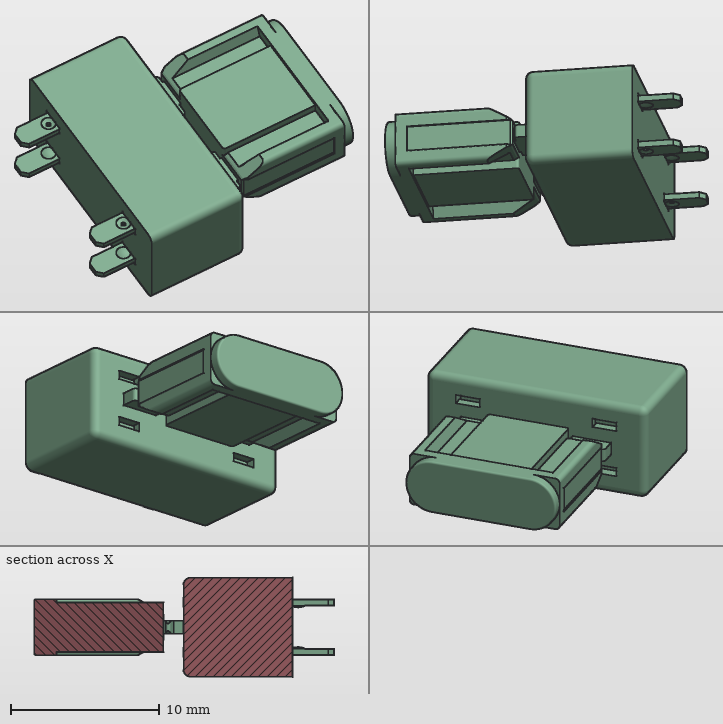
import cadquery as cq
import math

SIDES = (-1, 1)

HOUSING_WIDTH = 16.0
HOUSING_DEPTH = 7.38
HOUSING_HEIGHT = 6.73
HOUSING_ROUND = 0.53

PIN_INNER_X = 4.1
PIN_WIDTH = 1.6
PIN_INNER_Z = 1.46
PIN_OUTER_Z = 1.88
PIN_LENGTH = 2.79
PIN_TIP_CHAMFER = 0.4
ARM_END_Y = HOUSING_DEPTH - HOUSING_ROUND
SLOT_WIDTH = 1.73
SLOT_INNER_Z = 1.38
SLOT_OUTER_Z = 2.0
WEB_START_Y = 0.5
WEB_END_Y = 1.2

DIMPLE_X = PIN_INNER_X + PIN_WIDTH / 2
DIMPLE_Y = -0.37
DIMPLE_RADIUS = 0.49
DIMPLE_HEIGHT = 0.13
DIMPLE_HOLE_RADIUS = 0.15
DIMPLE_HOLE_DEPTH = 0.35

FUSE_WIDTH = 10.9
FUSE_THICKNESS = 3.8
FUSE_BOTTOM_Y = 8.7
FUSE_TOP_Y = 17.45
FUSE_EDGE_ROUND = 0.33
HEAD_DEPTH = 0.74
HEAD_ROUND = 0.14
TAPER_START_Y = 10.45
TAPER_ANGLE = 30
LIP_DEPTH = 0.13
LIP_DROP = 0.12
SHOULDER_WIDTH = 0.2
SHOULDER_LENGTH = 0.39

POCKET_TOP_Y = 15.92
POCKET_HALF_WIDTH = 4.65
POCKET_FLOOR_HALF_WIDTH = 4.35
POCKET_FLOOR_Z = 1.09
CORE_HALF_WIDTH = 2.93
CORE_THICKNESS = 3.36
CORE_CORNER = 0.19

SIDE_RECESS_DEPTH = 0.12
SIDE_RECESS_HEIGHT = 1.76

BLADE_INNER_X = 2.66
BLADE_OUTER_X = FUSE_WIDTH / 2
BLADE_THICKNESS = 0.88
BLADE_TOP_Y = 8.57
BLADE_CORNER = 0.24
NECK_OUTER_X = 4.85
BARB_TIP_X = 1.84
BARB_UPPER_X = 1.93
BARB_ROUND_X = 2.12
BARB_LOWER_X = 2.0
BARB_TIP_Y = 8.41
BARB_LOWER_Y = 8.23
BARB_ROOT_Y = 8.02
BARB_EDGE_ROUND = 0.3


def block(x_range, y_range, z_range):
    """Box between two limits on each axis."""
    size = [high - low for low, high in (x_range, y_range, z_range)]
    corner = cq.Vector(x_range[0], y_range[0], z_range[0])
    return cq.Workplane(cq.Solid.makeBox(*size, corner))


def symmetric(size):
    """Limits of a span centred on zero."""
    return (-size / 2, size / 2)


def mirrored_x(shape, side):
    """Shape made on the +X side, or its mirror image on the -X side."""
    return shape if side > 0 else shape.mirror("YZ")


def mirrored_z(shape, face):
    """Shape made on the +Z side, or its mirror image on the -Z side."""
    return shape if face > 0 else shape.mirror("XY")


def terminal_web():
    return block(
        (PIN_INNER_X, PIN_INNER_X + SLOT_WIDTH),
        (WEB_START_Y, WEB_END_Y),
        symmetric(2 * PIN_OUTER_Z),
    )


def dimple_cap(base_z):
    """Shallow spherical cap hanging from the given height on the upper pin."""
    sphere_radius = (DIMPLE_RADIUS**2 + DIMPLE_HEIGHT**2) / (2 * DIMPLE_HEIGHT)
    sphere_z = base_z - DIMPLE_HEIGHT + sphere_radius
    sphere = cq.Workplane().sphere(sphere_radius).translate((DIMPLE_X, DIMPLE_Y, sphere_z))
    limits = block(
        (DIMPLE_X - DIMPLE_RADIUS, DIMPLE_X + DIMPLE_RADIUS),
        (DIMPLE_Y - DIMPLE_RADIUS, DIMPLE_Y + DIMPLE_RADIUS),
        (base_z - DIMPLE_HEIGHT, base_z),
    )
    return sphere.intersect(limits)


def dimple_hole():
    """Small blind hole at the middle of the dimple."""
    return (
        cq.Workplane("XY", origin=(DIMPLE_X, DIMPLE_Y, PIN_OUTER_Z))
        .circle(DIMPLE_HOLE_RADIUS)
        .extrude(-DIMPLE_HOLE_DEPTH)
    )


def pin_arm():
    arm = block(
        (PIN_INNER_X, PIN_INNER_X + PIN_WIDTH),
        (-PIN_LENGTH, ARM_END_Y),
        (PIN_INNER_Z, PIN_OUTER_Z),
    )
    arm = arm.faces("<Y").edges("|Z").chamfer(PIN_TIP_CHAMFER)
    arm = arm.union(dimple_cap(PIN_INNER_Z))
    return arm.cut(dimple_cap(PIN_OUTER_Z)).cut(dimple_hole())


def make_terminal(side):
    terminal = terminal_web()
    for face in SIDES:
        terminal = terminal.union(mirrored_z(pin_arm(), face))
    return mirrored_x(terminal, side)


def fuse_blade():
    """Blade from the terminal web to the fuse body, with a barb on its inner edge."""
    outline = (
        cq.Workplane("XY")
        .workplane(offset=-BLADE_THICKNESS / 2)
        .moveTo(BLADE_INNER_X, WEB_END_Y)
        .lineTo(BLADE_OUTER_X, WEB_END_Y)
        .lineTo(BLADE_OUTER_X, BLADE_TOP_Y - BLADE_CORNER)
        .radiusArc((BLADE_OUTER_X - BLADE_CORNER, BLADE_TOP_Y), -BLADE_CORNER)
        .lineTo(NECK_OUTER_X, BLADE_TOP_Y)
        .lineTo(NECK_OUTER_X, FUSE_BOTTOM_Y)
        .lineTo(BLADE_INNER_X, FUSE_BOTTOM_Y)
        .lineTo(BLADE_INNER_X, BLADE_TOP_Y)
        .lineTo(BARB_UPPER_X, BLADE_TOP_Y)
        .threePointArc((BARB_TIP_X, BARB_TIP_Y), (BARB_LOWER_X, BARB_LOWER_Y))
        .lineTo(BLADE_INNER_X, BARB_ROOT_Y)
        .close()
    )
    blade = outline.extrude(BLADE_THICKNESS)
    for face in SIDES:
        blade = blade.cut(mirrored_z(barb_edge_cut(), face))
    return blade


def barb_edge_cut():
    """Waste above the rounded upper edge of the barb tip."""
    half_thickness = BLADE_THICKNESS / 2
    round_end_x = BARB_ROUND_X - BARB_EDGE_ROUND
    round_end_z = half_thickness - BARB_EDGE_ROUND
    return (
        cq.Workplane("XZ", origin=(0, FUSE_BOTTOM_Y, 0))
        .moveTo(BARB_ROUND_X, half_thickness)
        .radiusArc((round_end_x, round_end_z), -BARB_EDGE_ROUND)
        .lineTo(round_end_x, half_thickness)
        .close()
        .extrude(FUSE_BOTTOM_Y - BARB_ROOT_Y)
    )


def fuse_head():
    """Top cap of the fuse with half-round ends."""
    head = (
        cq.Workplane("XZ", origin=(0, FUSE_TOP_Y, 0))
        .slot2D(FUSE_WIDTH, FUSE_THICKNESS)
        .extrude(HEAD_DEPTH)
    )
    return head.faces(">Y").edges().fillet(HEAD_ROUND)


def fuse_taper_cut():
    """Waste outside the sloped lower end of the upper face."""
    half_thickness = FUSE_THICKNESS / 2
    lip_y = FUSE_BOTTOM_Y + LIP_DEPTH
    lip_z = half_thickness - (TAPER_START_Y - lip_y) * math.tan(math.radians(TAPER_ANGLE))
    return (
        cq.Workplane("YZ")
        .polyline([
            (TAPER_START_Y, half_thickness),
            (lip_y, lip_z),
            (FUSE_BOTTOM_Y, lip_z - LIP_DROP),
            (FUSE_BOTTOM_Y, half_thickness),
        ])
        .close()
        .extrude(FUSE_WIDTH / 2, both=True)
    )


def face_pocket():
    """Pocket in the upper face, with sloped sides and open at the lower end."""
    return (
        cq.Workplane("XZ", origin=(0, POCKET_TOP_Y, 0))
        .polyline([
            (-POCKET_HALF_WIDTH, FUSE_THICKNESS / 2),
            (POCKET_HALF_WIDTH, FUSE_THICKNESS / 2),
            (POCKET_FLOOR_HALF_WIDTH, POCKET_FLOOR_Z),
            (-POCKET_FLOOR_HALF_WIDTH, POCKET_FLOOR_Z),
        ])
        .close()
        .extrude(POCKET_TOP_Y - FUSE_BOTTOM_Y)
    )


def fuse_core():
    """Thick middle of the fuse between its face pockets."""
    core = block(
        symmetric(2 * CORE_HALF_WIDTH),
        (FUSE_BOTTOM_Y, POCKET_TOP_Y),
        symmetric(CORE_THICKNESS),
    )
    return core.faces("<Y").edges("|Z").fillet(CORE_CORNER)


def shoulder_cut():
    """Waste outside the bevelled lower corner of the narrow side."""
    outer_x = FUSE_WIDTH / 2
    return (
        cq.Workplane("XY")
        .polyline([
            (outer_x, FUSE_BOTTOM_Y),
            (outer_x, FUSE_BOTTOM_Y + SHOULDER_LENGTH),
            (outer_x - SHOULDER_WIDTH, FUSE_BOTTOM_Y),
        ])
        .close()
        .extrude(FUSE_THICKNESS / 2, both=True)
    )


def side_recess():
    outer_x = FUSE_WIDTH / 2
    return block(
        (outer_x - SIDE_RECESS_DEPTH, outer_x),
        (FUSE_BOTTOM_Y, POCKET_TOP_Y),
        symmetric(SIDE_RECESS_HEIGHT),
    )


def make_fuse():
    fuse = block(
        symmetric(FUSE_WIDTH),
        (FUSE_BOTTOM_Y, FUSE_TOP_Y - HEAD_DEPTH),
        symmetric(FUSE_THICKNESS),
    )
    fuse = fuse.edges("|Y").fillet(FUSE_EDGE_ROUND)
    for face in SIDES:
        fuse = fuse.cut(mirrored_z(fuse_taper_cut(), face))
        fuse = fuse.cut(mirrored_z(face_pocket(), face))
    for side in SIDES:
        fuse = fuse.cut(mirrored_x(shoulder_cut(), side))
        fuse = fuse.cut(mirrored_x(side_recess(), side))
    fuse = fuse.union(fuse_core()).union(fuse_head())
    for side in SIDES:
        fuse = fuse.union(mirrored_x(fuse_blade(), side))
    return fuse


def pin_slot():
    """Slot through the housing for the upper pin arm."""
    return block(
        (PIN_INNER_X, PIN_INNER_X + SLOT_WIDTH),
        (0, HOUSING_DEPTH),
        (SLOT_INNER_Z, SLOT_OUTER_Z),
    )


def blade_slot():
    return block(
        (BLADE_INNER_X, BLADE_OUTER_X),
        (WEB_END_Y, HOUSING_DEPTH),
        symmetric(BLADE_THICKNESS),
    )


def make_housing():
    housing = block(
        symmetric(HOUSING_WIDTH),
        (0, HOUSING_DEPTH),
        symmetric(HOUSING_HEIGHT),
    )
    housing = housing.edges("|Y").fillet(HOUSING_ROUND)
    housing = housing.faces(">Y").edges().fillet(HOUSING_ROUND)
    for side in SIDES:
        for cavity in (terminal_web(), blade_slot()):
            housing = housing.cut(mirrored_x(cavity, side))
        for face in SIDES:
            housing = housing.cut(mirrored_x(mirrored_z(pin_slot(), face), side))
    return housing


housing = make_housing()
fuse = make_fuse()
terminals = [make_terminal(side) for side in SIDES]

result = cq.Compound.makeCompound([
    *housing.solids().vals(),
    *fuse.solids().vals(),
    *[solid for terminal in terminals for solid in terminal.solids().vals()],
])